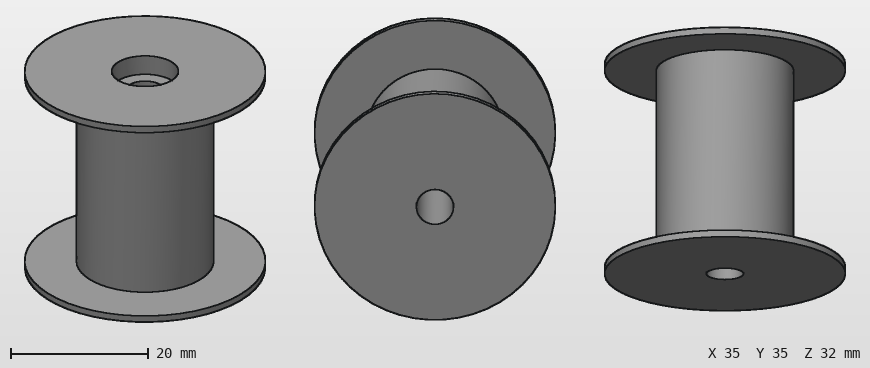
import cadquery as cq

flange_diameter = 35.0
flange_thickness = 1.0
barrel_diameter = 20.0
total_height = 32.0
bore_diameter = 5.4
pocket_diameter = 9.7
pocket_depth = 3.0
plug_diameter = 14.2
plug_floor = 3.0

barrel_top = total_height - flange_thickness
pocket_floor = total_height - pocket_depth
plug_bottom = pocket_floor - plug_floor


def disc(diameter, bottom, top):
    """Upright cylinder on the Z axis between two heights."""
    return cq.Workplane("XY").workplane(offset=bottom).circle(diameter / 2).extrude(top - bottom)


def make_spool():
    """Barrel with the lower flange, bored through and recessed for the cap plug."""
    lower_flange = disc(flange_diameter, 0, flange_thickness)
    barrel = disc(barrel_diameter, 0, barrel_top)
    bore = disc(bore_diameter, 0, barrel_top)
    plug_recess = disc(plug_diameter, plug_bottom, barrel_top)
    return lower_flange.union(barrel).cut(bore).cut(plug_recess)


def make_cap():
    """Upper flange with a plug that holds the stepped central hole."""
    upper_flange = disc(flange_diameter, barrel_top, total_height)
    plug = disc(plug_diameter, plug_bottom, total_height)
    bore = disc(bore_diameter, plug_bottom, total_height)
    pocket = disc(pocket_diameter, pocket_floor, total_height)
    return upper_flange.union(plug).cut(bore).cut(pocket)


spool = make_spool()
cap = make_cap()

result = cq.Compound.makeCompound([spool.val(), cap.val()])